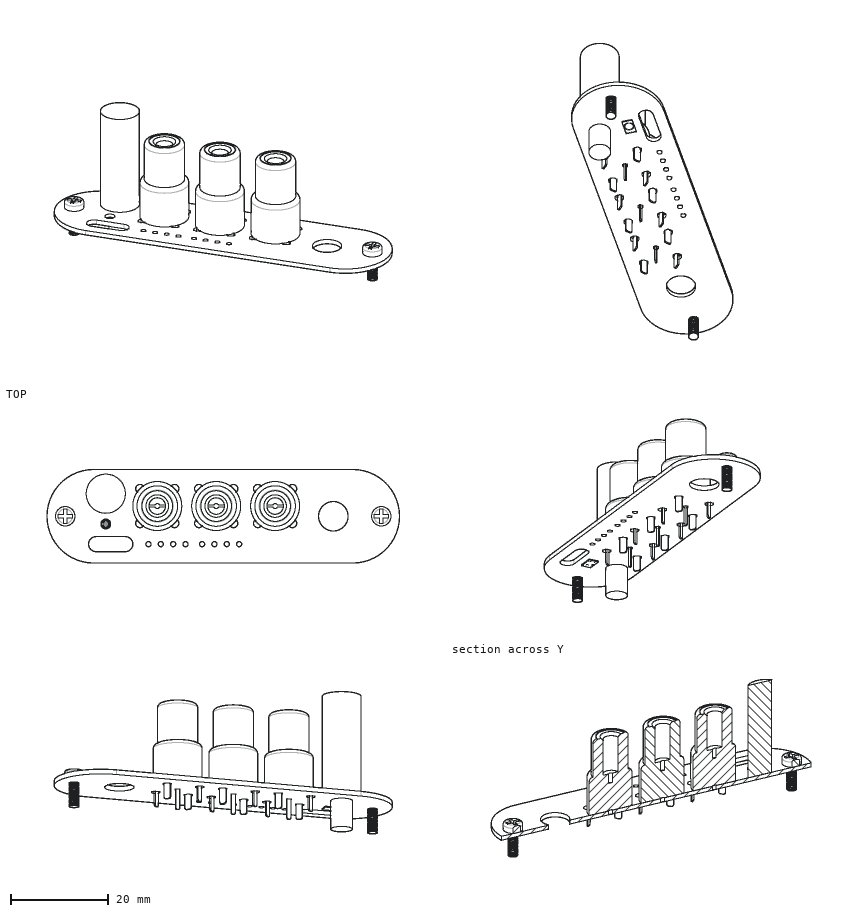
import cadquery as cq
import math


PLATE_LENGTH = 72.05
PLATE_WIDTH = 19.15
PLATE_THICKNESS = 1.0
OPENING_DIAMETER = 6.0
OPENING_X = 22.5
SLOT_LENGTH = 9.0
SLOT_WIDTH = 3.0
SLOT_X = -23.0
SMALL_HOLE_DIAMETER = 1.0
SMALL_HOLE_PITCH = 2.5
SMALL_HOLES_PER_GROUP = 4
SMALL_HOLE_GROUP_STARTS = (-15.3, -4.3)
LOWER_ROW_Y = -5.7
TAB_HOLE_DIAMETER = 1.7
TAB_HOLE_OFFSET = 3.5

POST_DIAMETER = 8.0
POST_HEIGHT = 21.0
POST_NECK_DIAMETER = 4.5
POST_NECK_LENGTH = 7.0
POST_X = -24.0
POST_Y = 4.6

SWITCH_LENGTH = 3.4
SWITCH_WIDTH = 2.15
SWITCH_THICKNESS = 0.2
PORT_DIAMETER = 2.0
PORT_X = POST_X
PORT_Y = -1.6
BUTTON_BASE_DIAMETER = 1.7
BUTTON_BASE_HEIGHT = 0.2
BUTTON_DIAMETER = 1.2
BUTTON_HEIGHT = 0.5
BUTTON_SLOT_WIDTH = 0.4
BUTTON_SLOT_DEPTH = 0.2

JACK_COUNT = 3
JACK_PITCH = 12.0
JACK_MIDDLE_X = -1.45
JACK_Y = 2.1
JACK_BASE_DIAMETER = 10.0
JACK_BASE_HEIGHT = 8.5
JACK_BARREL_DIAMETER = 8.3
JACK_BASE_FILLET = (JACK_BASE_DIAMETER - JACK_BARREL_DIAMETER) / 2
JACK_HEIGHT = 17.1
JACK_BARREL_FILLET = 0.9
FACE_RECESS_DIAMETER = 6.3
FACE_RECESS_DEPTH = 0.15
BORE_DIAMETER = 3.4
BORE_MOUTH_DIAMETER = 4.6
BORE_DEPTH = 8.65
CONTACT_SLOT_WIDTH = 0.4
CONTACT_HOLE_DIAMETER = 1.0
CONTACT_DEPTH = 2.15
CENTRE_TAB_WIDTH = 0.9
CENTRE_TAB_LENGTH = 5.2
CENTRE_TAB_CORNER_RADIUS = 0.35
CENTRE_HOLE_DIAMETER = 1.0
TAB_WIDTH = 1.45
TAB_THICKNESS = 0.3
TAB_LENGTH = 4.0
TAB_CORNER_RADIUS = 0.4
TAB_CENTRE_RADIUS = JACK_BASE_DIAMETER / 2 - TAB_THICKNESS / 2
TAB_ANGLES = (45, 135, 225, 315)

SCREW_X = 32.3
HEAD_DIAMETER = 3.95
HEAD_HEIGHT = 1.65
HEAD_FILLET = 0.5
SHANK_DIAMETER = 2.0
SHANK_LENGTH = 5.9
THREAD_PITCH = 0.35
THREAD_DEPTH = 0.15
CROSS_LENGTH = 2.9
CROSS_WIDTH = 0.65
CROSS_DEPTH = 0.9

JACK_CENTRES = [
    (JACK_MIDDLE_X + (i - (JACK_COUNT - 1) / 2) * JACK_PITCH, JACK_Y) for i in range(JACK_COUNT)
]
SCREW_CENTRES = [(-SCREW_X, 0), (SCREW_X, 0)]


def cylinder(diameter, bottom, top, centre=(0, 0)):
    """Upright cylinder between two heights."""
    return cq.Workplane("XY", origin=(*centre, bottom)).circle(diameter / 2).extrude(top - bottom)


def through_holes(diameter, centres):
    """Cutting cylinders that pass through the plate."""
    return (
        cq.Workplane("XY", origin=(0, 0, -PLATE_THICKNESS))
        .pushPoints(centres)
        .circle(diameter / 2)
        .extrude(PLATE_THICKNESS)
    )


def make_plate():
    base = cq.Workplane("XY", origin=(0, 0, -PLATE_THICKNESS))
    plate = base.slot2D(PLATE_LENGTH, PLATE_WIDTH).extrude(PLATE_THICKNESS)

    slot = base.center(SLOT_X, LOWER_ROW_Y).slot2D(SLOT_LENGTH, SLOT_WIDTH).extrude(PLATE_THICKNESS)
    plate = plate.cut(slot)

    small_holes = [
        (start + i * SMALL_HOLE_PITCH, LOWER_ROW_Y)
        for start in SMALL_HOLE_GROUP_STARTS
        for i in range(SMALL_HOLES_PER_GROUP)
    ]
    tab_holes = [
        (x + side_x * TAB_HOLE_OFFSET, y + side_y * TAB_HOLE_OFFSET)
        for x, y in JACK_CENTRES
        for side_x in (-1, 1)
        for side_y in (-1, 1)
    ]
    plate = plate.cut(through_holes(OPENING_DIAMETER, [(OPENING_X, 0)]))
    plate = plate.cut(through_holes(SMALL_HOLE_DIAMETER, small_holes))
    plate = plate.cut(through_holes(TAB_HOLE_DIAMETER, tab_holes))
    plate = plate.cut(through_holes(CENTRE_HOLE_DIAMETER, JACK_CENTRES))
    plate = plate.cut(through_holes(POST_NECK_DIAMETER, [(POST_X, POST_Y)]))
    plate = plate.cut(through_holes(PORT_DIAMETER, [(PORT_X, PORT_Y)]))
    return plate.cut(through_holes(SHANK_DIAMETER, SCREW_CENTRES))


def make_post():
    centre = (POST_X, POST_Y)
    neck = cylinder(POST_NECK_DIAMETER, -POST_NECK_LENGTH, 0, centre)
    return neck.union(cylinder(POST_DIAMETER, 0, POST_HEIGHT, centre))


def make_switch():
    top = cq.Workplane("XY", origin=(PORT_X, PORT_Y, -PLATE_THICKNESS))
    return top.rect(SWITCH_LENGTH, SWITCH_WIDTH).extrude(-SWITCH_THICKNESS)


def make_button():
    """Stepped round button on the switch, with a slot across its top."""
    centre = (PORT_X, PORT_Y)
    bottom = -PLATE_THICKNESS
    top = bottom + BUTTON_HEIGHT
    button = cylinder(BUTTON_BASE_DIAMETER, bottom, bottom + BUTTON_BASE_HEIGHT, centre)
    button = button.union(cylinder(BUTTON_DIAMETER, bottom, top, centre))
    slot = cq.Workplane("XY", origin=(*centre, top)).rect(BUTTON_DIAMETER, BUTTON_SLOT_WIDTH)
    return button.cut(slot.extrude(-BUTTON_SLOT_DEPTH))


def make_tab(width, length, corner_radius):
    """Flat tab below z = 0, centred on the Z axis and lying across Y, with rounded lower corners."""
    tab = cq.Workplane("XY").rect(TAB_THICKNESS, width).extrude(-length)
    return tab.edges("<Z and |X").fillet(corner_radius)


def make_jack():
    """One jack standing on the plate, centred on the Z axis."""
    base = cylinder(JACK_BASE_DIAMETER, 0, JACK_BASE_HEIGHT)
    base = base.faces(">Z").edges().fillet(JACK_BASE_FILLET)
    barrel = cylinder(JACK_BARREL_DIAMETER, 0, JACK_HEIGHT)
    barrel = barrel.faces(">Z").edges().fillet(JACK_BARREL_FILLET)
    jack = base.union(barrel)

    face_z = JACK_HEIGHT - FACE_RECESS_DEPTH
    floor_z = JACK_HEIGHT - BORE_DEPTH
    mouth_depth = (BORE_MOUTH_DIAMETER - BORE_DIAMETER) / 2
    mouth = (
        cq.Workplane("XY", origin=(0, 0, face_z))
        .circle(BORE_MOUTH_DIAMETER / 2)
        .workplane(offset=-mouth_depth)
        .circle(BORE_DIAMETER / 2)
        .loft()
    )
    jack = jack.cut(cylinder(FACE_RECESS_DIAMETER, face_z, JACK_HEIGHT))
    jack = jack.cut(mouth).cut(cylinder(BORE_DIAMETER, floor_z, face_z))

    slot_length = 2 * math.sqrt((BORE_DIAMETER / 2) ** 2 - (CONTACT_SLOT_WIDTH / 2) ** 2)
    floor = cq.Workplane("XY", origin=(0, 0, floor_z))
    slot = floor.rect(slot_length, CONTACT_SLOT_WIDTH).extrude(-CONTACT_DEPTH)
    jack = jack.cut(slot).cut(cylinder(CONTACT_HOLE_DIAMETER, floor_z - CONTACT_DEPTH, floor_z))

    centre_tab = make_tab(CENTRE_TAB_WIDTH, CENTRE_TAB_LENGTH, CENTRE_TAB_CORNER_RADIUS)
    jack = jack.union(centre_tab.rotate((0, 0, 0), (0, 0, 1), 90))
    outer_tab = make_tab(TAB_WIDTH, TAB_LENGTH, TAB_CORNER_RADIUS).translate((TAB_CENTRE_RADIUS, 0, 0))
    for angle in TAB_ANGLES:
        jack = jack.union(outer_tab.rotate((0, 0, 0), (0, 0, 1), angle))
    return jack


def make_threaded_shank():
    """Shank below z = 0 with ring-shaped V grooves in place of a helical thread."""
    crest = SHANK_DIAMETER / 2
    root = crest - THREAD_DEPTH
    points = [(0, 0), (crest, 0)]
    for i in range(int(SHANK_LENGTH / THREAD_PITCH)):
        points.append((root, -(i + 0.5) * THREAD_PITCH))
        points.append((crest, -(i + 1) * THREAD_PITCH))
    points += [(crest, -SHANK_LENGTH), (0, -SHANK_LENGTH)]
    return cq.Workplane("XZ").polyline(points).close().revolve(360, (0, 0, 0), (0, 1, 0))


def make_screw():
    """One screw with its head on the plate, centred on the Z axis."""
    head = cylinder(HEAD_DIAMETER, 0, HEAD_HEIGHT).faces(">Z").edges().fillet(HEAD_FILLET)
    top = cq.Workplane("XY", origin=(0, 0, HEAD_HEIGHT))
    for length_x, length_y in ((CROSS_LENGTH, CROSS_WIDTH), (CROSS_WIDTH, CROSS_LENGTH)):
        head = head.cut(top.rect(length_x, length_y).extrude(-CROSS_DEPTH))
    return head.union(make_threaded_shank())


plate = make_plate()
post = make_post()
switch = make_switch()
button = make_button()
jacks = [make_jack().translate((x, y, 0)) for x, y in JACK_CENTRES]
screws = [make_screw().translate((x, y, 0)) for x, y in SCREW_CENTRES]

result = cq.Compound.makeCompound(
    [plate.val(), post.val(), switch.val(), button.val()] + [body.val() for body in jacks + screws]
)